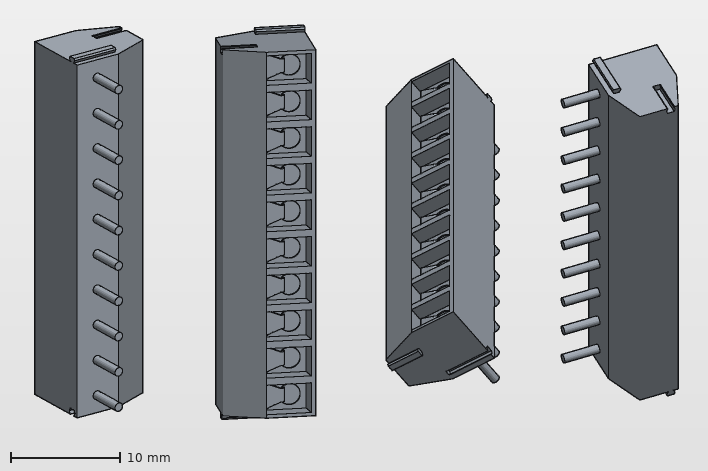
import cadquery as cq
import math

pole_count = 10
pitch = 3.5
body_depth = 6.8
body_width = 8.4
body_height = pole_count * pitch
shoulder_y = 4.58
flank_inset = 1.48
crest_radius = 0.2

pin_diameter = 0.84
pin_length = 3.5
axis_y = 2.2

pocket_height = 2.82
pocket_depth = 1.45
pocket_lip_y = 0.44
pocket_floor_y = 0.65
recess_diameter = 2.0
recess_depth = 0.13

leaf_x = 1.2
leaf_bend_radius = 0.42
leaf_root_y = 4.56
leaf_tip_y = 2.63
leaf_bend_half_width = 1.08
leaf_tip_half_width = 0.65

rail_height = 0.48
groove_depth = 0.58
rail_widest_at = 0.3
rail_neck_half = 0.26
rail_widest_half = 0.43
rail_crown_half = 0.33
upper_rail_x = 2.23
lower_rail_x = 5.98
upper_rail_length = 3.3
upper_rail_start = body_width - upper_rail_length
mouth_half = 0.37
mouth_depth = 0.1


def make_housing():
    housing = (
        cq.Workplane("XY")
        .moveTo(0, 0)
        .lineTo(body_depth, 0)
        .lineTo(body_depth, shoulder_y)
        .lineTo(body_depth - flank_inset, body_width)
        .lineTo(flank_inset, body_width)
        .lineTo(0, shoulder_y)
        .close()
        .extrude(body_height)
    )
    return housing.faces(">Y").edges("|Z").fillet(crest_radius)


def make_bar(outline, y_start, y_end):
    """Bar running along Y whose section is a closed outline of (x, z) points."""
    return cq.Workplane("XZ", origin=(0, y_start, 0)).polyline(outline).close().extrude(y_start - y_end)


def make_rail(center_x, base_z, y_start, y_end, height):
    """Dovetail bar standing on the plane z = base_z."""
    widest_z = base_z + rail_widest_at
    crown_z = base_z + height
    outline = [
        (center_x - rail_neck_half, base_z),
        (center_x - rail_widest_half, widest_z),
        (center_x - rail_crown_half, crown_z),
        (center_x + rail_crown_half, crown_z),
        (center_x + rail_widest_half, widest_z),
        (center_x + rail_neck_half, base_z),
    ]
    return make_bar(outline, y_start, y_end)


def make_top_groove():
    """Dovetail groove in the top face with a chamfered mouth."""
    groove = make_rail(upper_rail_x, 0, upper_rail_start, body_width, groove_depth)
    mouth = [
        (upper_rail_x - mouth_half, 0),
        (upper_rail_x - rail_neck_half, mouth_depth),
        (upper_rail_x + rail_neck_half, mouth_depth),
        (upper_rail_x + mouth_half, 0),
    ]
    groove = groove.union(make_bar(mouth, upper_rail_start, body_width))
    return groove.mirror("XY").translate((0, 0, body_height))


def make_pocket(center_z):
    """Wire pocket with one slanted wall, plus the round recess in its floor."""
    mouth = (
        cq.Workplane("XY", origin=(0, 0, center_z))
        .moveTo(0, pocket_lip_y)
        .lineTo(pocket_depth, pocket_floor_y)
        .lineTo(pocket_depth, shoulder_y)
        .lineTo(0, shoulder_y)
        .close()
        .extrude(pocket_height / 2, both=True)
    )
    recess = (
        cq.Workplane("YZ", origin=(pocket_depth, axis_y, center_z))
        .circle(recess_diameter / 2)
        .extrude(recess_depth)
    )
    return mouth.union(recess)


def make_leaf(center_z):
    """Clamp leaf: bent side profile trimmed to its tapering width."""
    bend_x = leaf_x + leaf_bend_radius
    root_bend_y = leaf_root_y - leaf_bend_radius
    tip_bend_y = leaf_tip_y + leaf_bend_radius
    mid_offset = leaf_bend_radius * math.sin(math.pi / 4)
    mid_x = bend_x - mid_offset
    profile = (
        cq.Workplane("XY", origin=(0, 0, center_z))
        .moveTo(bend_x, leaf_tip_y)
        .threePointArc((mid_x, tip_bend_y - mid_offset), (leaf_x, tip_bend_y))
        .lineTo(leaf_x, root_bend_y)
        .threePointArc((mid_x, root_bend_y + mid_offset), (bend_x, leaf_root_y))
        .close()
        .extrude(pocket_height / 2, both=True)
    )
    half_outline = [
        (leaf_tip_y, leaf_tip_half_width),
        (tip_bend_y, leaf_tip_half_width),
        (root_bend_y, leaf_bend_half_width),
        (leaf_root_y, pocket_height / 2),
    ]
    mirrored_outline = [(y, -z) for y, z in reversed(half_outline)]
    taper = (
        cq.Workplane("YZ", origin=(0, 0, center_z))
        .polyline(half_outline + mirrored_outline)
        .close()
        .extrude(bend_x)
    )
    return profile.intersect(taper)


def make_pin(center_z):
    pin = cq.Workplane("YZ", origin=(body_depth, axis_y, center_z))
    return pin.circle(pin_diameter / 2).extrude(pin_length)


result = make_housing()
result = result.cut(make_rail(lower_rail_x, 0, 0, shoulder_y, groove_depth))
result = result.cut(make_top_groove())
result = result.union(make_rail(lower_rail_x, body_height, 0, shoulder_y, rail_height))
rib_below = make_rail(upper_rail_x, 0, upper_rail_start, body_width, rail_height)
result = result.union(rib_below.mirror("XY"))

for pole in range(pole_count):
    pole_z = (pole + 0.5) * pitch
    result = result.cut(make_pocket(pole_z))
    result = result.union(make_leaf(pole_z))
    result = result.union(make_pin(pole_z))